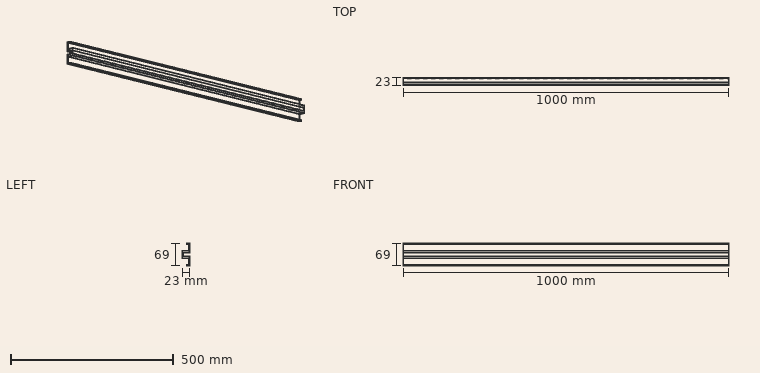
import cadquery as cq

length = 1000.0
depth = 23.0
height = 69.0

plate_thickness = 2.5
lip_thickness = 2.5
lip_depth = 9.5

channel_height = 24.1
slot_height = 10.0
web_thickness = 3.0

front = -depth / 2
back = depth / 2


def upper_outline():
    """Section points (Y, Z) of the upper half, from the slot floor round to the channel back."""
    slot_top = slot_height / 2
    channel_top = channel_height / 2
    plate_top = height / 2
    plate_back = front + plate_thickness
    lip_back = front + lip_depth
    lip_underside = plate_top - lip_thickness
    return [
        (back - web_thickness, slot_top),
        (front, slot_top),
        (front, plate_top),
        (lip_back, plate_top),
        (lip_back, lip_underside),
        (plate_back, lip_underside),
        (plate_back, channel_top),
        (back, channel_top),
    ]


upper = upper_outline()
lower = [(y, -z) for y, z in reversed(upper)]

result = (
    cq.Workplane("YZ")
    .polyline(upper + lower)
    .close()
    .extrude(length / 2, both=True)
)